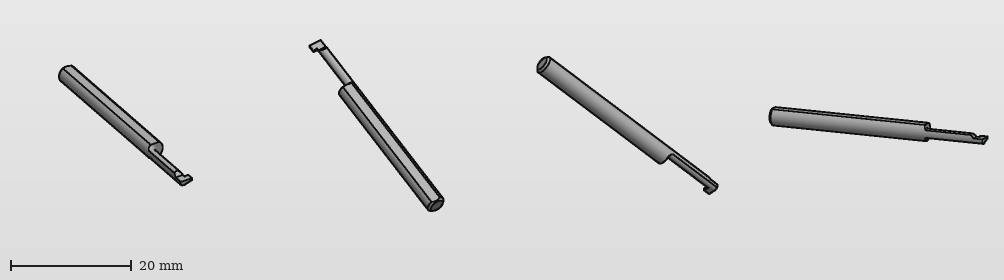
import cadquery as cq
import math

total_length = 38.1
shank_diameter = 3.15
shank_height = 2.95
shank_length = 27.55
rear_chamfer = 0.4
shank_radius = shank_diameter / 2
flat_height = shank_height - shank_radius

neck_radius = 0.8
neck_offset = -0.95
neck_fillet = 0.57
neck_side = neck_offset + neck_radius

head_reach = 0.6
face_height = 0.1
head_width = 1.25
head_edge_height = 0.4
side_relief = 0.1
end_relief_angle = 3.0
end_taper = 0.08
ramp_length = 2.32
ramp_angle = 45.0


def make_stock():
    """Round bar with a chamfered rear end and a flat along its top."""
    bar = cq.Workplane("YZ").circle(shank_radius).extrude(total_length)
    bar = bar.faces("<X").chamfer(rear_chamfer)
    above_flat = cq.Workplane("XY").workplane(offset=flat_height).rect(
        2 * total_length, 2 * shank_diameter
    ).extrude(shank_diameter)
    return bar.cut(above_flat)


def make_neck():
    """Round neck on its offset axis, flaring into the end of the shank."""
    fillet_end = shank_length + neck_fillet
    flare_radius = neck_radius + neck_fillet
    bend = neck_fillet * (1 - math.sqrt(0.5))
    return (
        cq.Workplane("XY", origin=(0, neck_offset, 0))
        .moveTo(shank_length, 0)
        .lineTo(shank_length, flare_radius)
        .threePointArc((shank_length + bend, neck_radius + bend), (fillet_end, neck_radius))
        .lineTo(total_length, neck_radius)
        .lineTo(total_length, 0)
        .close()
        .revolve(360, (0, 0, 0), (1, 0, 0))
    )


def make_head():
    """Side cutting head under the cutting face, tapering in thickness toward its edge."""
    head_start = total_length - head_width
    outline = (
        cq.Workplane("XY")
        .workplane(offset=-neck_radius)
        .moveTo(head_start + side_relief, neck_offset)
        .lineTo(head_start + side_relief, neck_side)
        .lineTo(head_start, head_reach)
        .lineTo(total_length, head_reach)
        .lineTo(total_length, neck_offset)
        .close()
        .extrude(neck_radius + face_height)
    )
    section = (
        cq.Workplane("YZ")
        .moveTo(neck_offset, face_height)
        .lineTo(head_reach, face_height)
        .lineTo(head_reach, face_height - head_edge_height)
        .lineTo(neck_offset, -neck_radius)
        .close()
        .extrude(total_length)
    )
    return outline.intersect(section)


def make_ramp_cutter():
    """Space above the cutting face, bounded behind by the sloping ramp."""
    ramp_top = total_length - ramp_length
    ramp_end = ramp_top + (neck_radius - face_height) / math.tan(math.radians(ramp_angle))
    return (
        cq.Workplane("XZ")
        .moveTo(ramp_top, neck_radius)
        .lineTo(ramp_end, face_height)
        .lineTo(total_length, face_height)
        .lineTo(total_length, neck_radius)
        .close()
        .extrude(shank_diameter, both=True)
    )


def make_end_relief():
    """Wedge off the front end, leaving only the upper head corner at full length."""
    drop = shank_diameter
    setback = drop * math.tan(math.radians(end_relief_angle))
    taper_run = head_reach + shank_radius
    taper_angle = math.degrees(math.atan(end_taper / taper_run))
    wedge = (
        cq.Workplane("XZ")
        .moveTo(total_length, face_height)
        .lineTo(total_length - setback, face_height - drop)
        .lineTo(total_length + drop, face_height - drop)
        .lineTo(total_length + drop, face_height + drop)
        .lineTo(total_length + setback, face_height + drop)
        .close()
        .extrude(2 * shank_diameter, both=True)
        .translate((0, head_reach, 0))
    )
    corner = (total_length, head_reach, face_height)
    return wedge.rotate(corner, (total_length, head_reach, face_height + 0.4), -taper_angle)


stock = make_stock()
shank_box = cq.Workplane("YZ").rect(2 * shank_diameter, 2 * shank_diameter).extrude(shank_length)
shank = stock.intersect(shank_box)
neck = make_neck().intersect(stock)
result = shank.union(neck).cut(make_ramp_cutter()).union(make_head()).cut(make_end_relief())